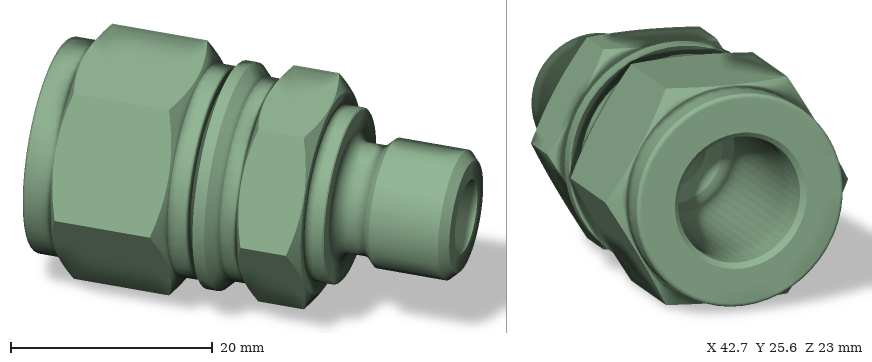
import cadquery as cq
import math


TOTAL_LENGTH = 42.7
NUT_START = 3.0
NUT_END = 15.07
NUT_BAND_END = 17.05
FLANGE_START = 17.9
FLANGE_RIM_END = 19.1
BODY_HEX_START = 22.0
BODY_HEX_END = 28.7
SEAL_COLLAR_END = 30.65
RELIEF_END = 34.65

NUT_COLLAR_DIAMETER = 21.8
NUT_BAND_DIAMETER = 21.5
NECK_DIAMETER = 18.9
FLANGE_DIAMETER = 23.0
FLANGE_RECESS_DIAMETER = 22.65
SHOULDER_DIAMETER = 20.6
SEAL_COLLAR_DIAMETER = 17.8
RELIEF_DIAMETER = 11.2
THREAD_DIAMETER = 13.15

NUT_CORNER_DIAMETER = 25.65
NUT_FRONT_CHAMFER_DIAMETER = 22.15
BODY_HEX_FLATS = 20.6
BODY_HEX_CHAMFER_DIAMETER = 20.33
HEX_CHAMFER_ANGLE = math.radians(30)

NUT_COLLAR_ROUND = 0.43
BAND_ROUND = 0.25
SHOULDER_ROUND = 0.3
SEAL_COLLAR_CHAMFER = 0.13
RELIEF_RADIUS = 1.05
THREAD_CHAMFER = 0.9

SOCKET_DIAMETER = 12.9
SOCKET_MOUTH_DIAMETER = 13.9
SOCKET_DEPTH = 19.2
FUNNEL_DIAMETER = 10.4
THROUGH_DIAMETER = 7.5
FUNNEL_HALF_ANGLE = math.radians(60)


def cylinder(start, end, diameter):
    return cq.Workplane("YZ", origin=(start, 0, 0)).circle(diameter / 2).extrude(end - start)


def revolve_about_x(profile):
    return profile.close().revolve(360, (0, 0, 0), (1, 0, 0))


def chamfered_hexagon(start, end, corner_diameter, start_diameter, end_diameter):
    """Hexagon with corners on +Y and -Y, trimmed by a cone at each end."""
    corner_radius = corner_diameter / 2
    slope = math.tan(HEX_CHAMFER_ANGLE)
    start_run = (corner_radius - start_diameter / 2) * slope
    end_run = (corner_radius - end_diameter / 2) * slope
    prism = cq.Workplane("YZ", origin=(start, 0, 0)).polygon(6, corner_diameter).extrude(end - start)
    envelope = revolve_about_x(
        cq.Workplane("XY")
        .moveTo(start, 0)
        .lineTo(start, start_diameter / 2)
        .lineTo(start + start_run, corner_radius)
        .lineTo(end - end_run, corner_radius)
        .lineTo(end, end_diameter / 2)
        .lineTo(end, 0)
    )
    return prism.intersect(envelope)


def make_nut():
    collar = cylinder(0, NUT_START, NUT_COLLAR_DIAMETER).faces("<X").edges().fillet(NUT_COLLAR_ROUND)
    hexagon = chamfered_hexagon(
        NUT_START, NUT_END, NUT_CORNER_DIAMETER, NUT_FRONT_CHAMFER_DIAMETER, NUT_BAND_DIAMETER
    )
    band = cylinder(NUT_END, NUT_BAND_END, NUT_BAND_DIAMETER).faces(">X").edges().fillet(BAND_ROUND)
    return collar.union(hexagon).union(band)


def make_flange():
    """Neck and dished flange: 45 degree cone outside, matching conical recess facing the nut."""
    neck = cylinder(NUT_BAND_END, FLANGE_START, NECK_DIAMETER)
    cone_drop = (FLANGE_DIAMETER - SHOULDER_DIAMETER) / 2
    rim = cylinder(FLANGE_START, FLANGE_RIM_END + cone_drop, FLANGE_DIAMETER)
    rim = rim.faces(">X").edges().chamfer(cone_drop)
    shoulder = cylinder(FLANGE_RIM_END, BODY_HEX_START, SHOULDER_DIAMETER)
    shoulder = shoulder.faces(">X").edges().fillet(SHOULDER_ROUND)
    recess_depth = (FLANGE_RECESS_DIAMETER - NECK_DIAMETER) / 2
    recess = revolve_about_x(
        cq.Workplane("XY")
        .moveTo(FLANGE_START, NECK_DIAMETER / 2)
        .lineTo(FLANGE_START, FLANGE_RECESS_DIAMETER / 2)
        .lineTo(FLANGE_START + recess_depth, NECK_DIAMETER / 2)
    )
    return neck.union(rim).union(shoulder).cut(recess)


def make_body_hexagon():
    hexagon = chamfered_hexagon(
        BODY_HEX_START,
        BODY_HEX_END,
        BODY_HEX_FLATS / math.cos(math.pi / 6),
        BODY_HEX_CHAMFER_DIAMETER,
        BODY_HEX_CHAMFER_DIAMETER,
    )
    collar = cylinder(BODY_HEX_END, SEAL_COLLAR_END, SEAL_COLLAR_DIAMETER)
    return hexagon.union(collar.faces(">X").edges().chamfer(SEAL_COLLAR_CHAMFER))


def make_threaded_stub():
    """Thread relief with a rounded root at each side, then the chamfered thread cylinder."""
    relief_radius = RELIEF_DIAMETER / 2
    thread_radius = THREAD_DIAMETER / 2
    diagonal = math.sqrt(0.5)
    arc_rise = RELIEF_RADIUS * (1 - diagonal)
    arc_end = RELIEF_END - (thread_radius - relief_radius - arc_rise)
    arc_start = arc_end - RELIEF_RADIUS * diagonal
    half_turn = math.pi / 8
    return revolve_about_x(
        cq.Workplane("XY")
        .moveTo(SEAL_COLLAR_END, 0)
        .lineTo(SEAL_COLLAR_END, relief_radius + RELIEF_RADIUS)
        .threePointArc(
            (SEAL_COLLAR_END + arc_rise, relief_radius + arc_rise),
            (SEAL_COLLAR_END + RELIEF_RADIUS, relief_radius),
        )
        .lineTo(arc_start, relief_radius)
        .threePointArc(
            (
                arc_start + RELIEF_RADIUS * math.sin(half_turn),
                relief_radius + RELIEF_RADIUS * (1 - math.cos(half_turn)),
            ),
            (arc_end, relief_radius + arc_rise),
        )
        .lineTo(RELIEF_END, thread_radius)
        .lineTo(TOTAL_LENGTH - THREAD_CHAMFER, thread_radius)
        .lineTo(TOTAL_LENGTH, thread_radius - THREAD_CHAMFER)
        .lineTo(TOTAL_LENGTH, 0)
    )


def make_bore():
    """Tube socket with a 45 degree mouth, a funnel in its floor and the through hole."""
    mouth_depth = (SOCKET_MOUTH_DIAMETER - SOCKET_DIAMETER) / 2
    funnel_depth = (FUNNEL_DIAMETER - THROUGH_DIAMETER) / 2 / math.tan(FUNNEL_HALF_ANGLE)
    return revolve_about_x(
        cq.Workplane("XY")
        .lineTo(0, SOCKET_MOUTH_DIAMETER / 2)
        .lineTo(mouth_depth, SOCKET_DIAMETER / 2)
        .lineTo(SOCKET_DEPTH, SOCKET_DIAMETER / 2)
        .lineTo(SOCKET_DEPTH, FUNNEL_DIAMETER / 2)
        .lineTo(SOCKET_DEPTH + funnel_depth, THROUGH_DIAMETER / 2)
        .lineTo(TOTAL_LENGTH, THROUGH_DIAMETER / 2)
        .lineTo(TOTAL_LENGTH, 0)
    )


fitting = make_nut().union(make_flange()).union(make_body_hexagon()).union(make_threaded_stub())
result = fitting.cut(make_bore())